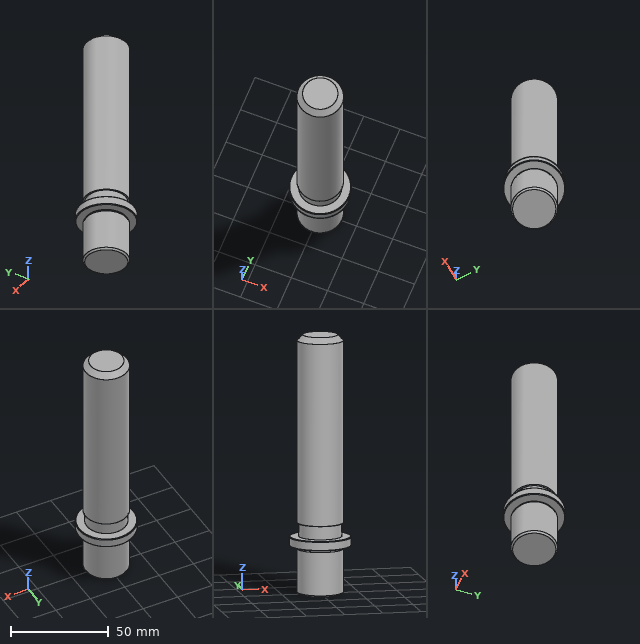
import cadquery as cq

total_length = 135.0
shaft_diameter = 24.0
neck_diameter = 22.3
flange_diameter = 32.0

flange_bottom = 25.0
flange_top = 30.0
neck_top = 37.0

tip_chamfer = 3.0
base_chamfer = 1.0
flange_chamfer = 0.4

taper_height = 1.0
relief_height = 0.5
relief_diameter = neck_diameter


def cylinder(diameter, bottom, top):
    """Upright cylinder on the Z axis between two heights."""
    return cq.Workplane("XY").workplane(offset=bottom).circle(diameter / 2).extrude(top - bottom)


spigot_top = flange_bottom - relief_height
taper_width = (shaft_diameter - relief_diameter) / 2
spigot = cylinder(shaft_diameter, 0, spigot_top)
spigot = spigot.faces("<Z").chamfer(base_chamfer)
spigot = spigot.faces(">Z").chamfer(taper_height, taper_width)

relief = cylinder(relief_diameter, spigot_top, flange_bottom)
flange = cylinder(flange_diameter, flange_bottom, flange_top).edges().chamfer(flange_chamfer)
neck = cylinder(neck_diameter, flange_top, neck_top)

shaft = cylinder(shaft_diameter, neck_top, total_length).faces(">Z").chamfer(tip_chamfer)

result = spigot.union(relief).union(flange).union(neck).union(shaft)

result = result.translate((0, 0, -total_length / 2))